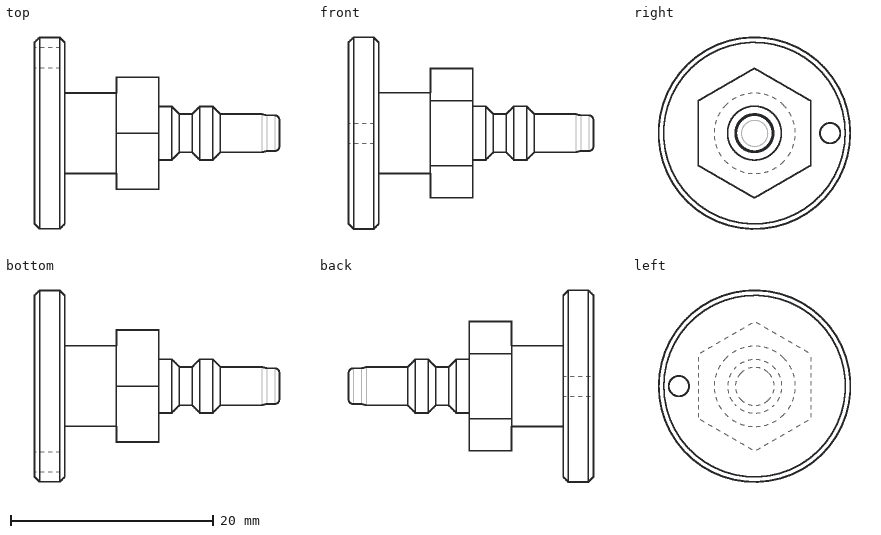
import cadquery as cq

total_length = 24.25

knob_diameter = 19.0
knob_thickness = 3.0
knob_chamfer = 0.5
knob_hole_diameter = 2.0
knob_hole_offset = 7.5

hub_diameter = 8.0
hex_start = 8.1
hex_end = 12.32
hex_across_flats = 11.1

collar_diameter = 5.34
shank_diameter = 3.8
collar_width = 1.25
neck_width = 1.25
cone_length = (collar_diameter - shank_diameter) / 2

tip_diameter = 3.57
tip_length = 1.29
tip_taper_start = 22.51
tip_rounding = 0.49


def cylinder_x(start, end, diameter):
    """Solid cylinder along X between two stations."""
    return cq.Workplane("YZ", origin=(start, 0, 0)).circle(diameter / 2).extrude(end - start)


def make_knob():
    knob = cylinder_x(0, knob_thickness, knob_diameter).edges().chamfer(knob_chamfer)
    hole = cylinder_x(0, knob_thickness, knob_hole_diameter).translate((0, knob_hole_offset, 0))
    return knob.cut(hole)


def make_hexagon():
    """Hexagon with flats facing +Y and -Y and corners on the Z axis."""
    return (
        cq.Workplane("YZ", origin=(hex_start, 0, 0))
        .polygon(6, hex_across_flats, circumscribed=True)
        .extrude(hex_end - hex_start)
    )


def make_pin():
    """Revolved pin with its collars, neck, shank and rounded tip."""
    collar_radius = collar_diameter / 2
    shank_radius = shank_diameter / 2
    tip_radius = tip_diameter / 2
    first_collar_end = hex_end + collar_width
    neck_start = first_collar_end + cone_length
    neck_end = neck_start + neck_width
    second_collar_start = neck_end + cone_length
    second_collar_end = second_collar_start + collar_width
    shank_start = second_collar_end + cone_length
    profile = [
        (hex_end, 0),
        (hex_end, collar_radius),
        (first_collar_end, collar_radius),
        (neck_start, shank_radius),
        (neck_end, shank_radius),
        (second_collar_start, collar_radius),
        (second_collar_end, collar_radius),
        (shank_start, shank_radius),
        (tip_taper_start, shank_radius),
        (total_length - tip_length, tip_radius),
        (total_length, tip_radius),
        (total_length, 0),
    ]
    pin = cq.Workplane("XY").polyline(profile).close().revolve(360, (0, 0, 0), (1, 0, 0))
    return pin.faces(">X").edges().fillet(tip_rounding)


hub = cylinder_x(knob_thickness, hex_start, hub_diameter)
result = make_knob().union(hub).union(make_hexagon()).union(make_pin())